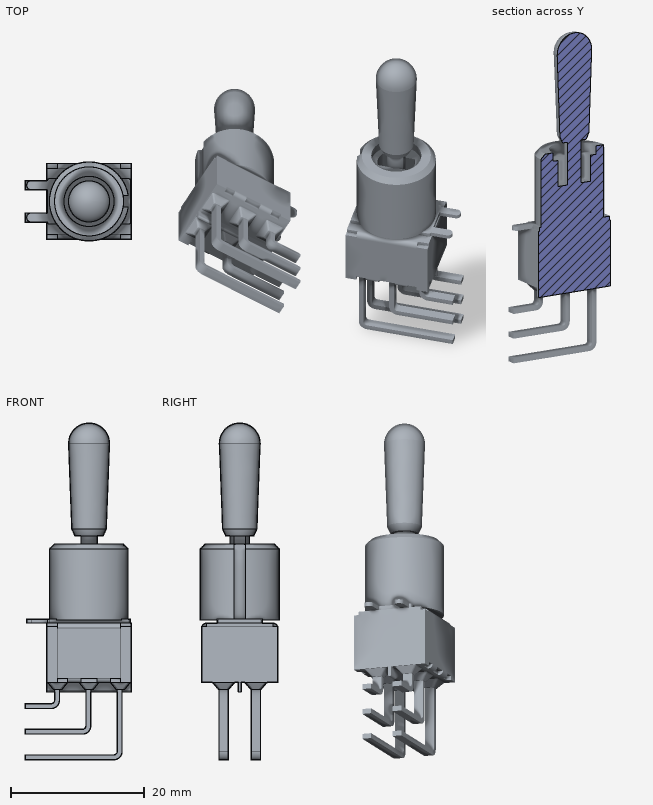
import cadquery as cq


body_length = 12.7
body_width = 11.35
body_bottom = 11.6
body_top = 20.45
end_plate_thickness = 1.65
end_plate_top = 19.95
cover_thickness = 0.75
cover_length = body_length - 2 * end_plate_thickness
cover_bottom = 12.2
crimp_tab_width = 2.0
crimp_tab_offset = 2.2
crimp_tab_rounding = cover_bottom - body_bottom

rib_width = 0.5
rib_bottom = 10.1
rib_rounding = 0.225

bracket_length = 12.4
bracket_width = 6.8
bracket_thickness = 0.6
bracket_corner_radius = 0.25
bracket_tab_width = 1.35
bracket_tab_tip = -9.3

sleeve_radius = 5.915
sleeve_bottom = 20.9
sleeve_top = 32.25
sleeve_chamfer = 0.75
bore_diameter = 7.5
bore_depth = 1.3
keyway_width = 1.7
keyway_floor = sleeve_radius - sleeve_chamfer
lever_slot_radius = 2.8
lever_slot_width = 2.7
lever_slot_depth = 4.05

stem_radius = 1.485
stem_thickness = 2.45
grip_bottom = 33.45
grip_shoulder = 34.55
grip_bottom_radius = 2.1
grip_shoulder_radius = 2.59
dome_radius = 3.05
lever_tip = 50.35

terminal_end = -9.55
terminal_thickness = 0.75
terminal_width = 1.4
terminal_row_offset = 2.4
terminal_pitch = 4.7
terminal_axis_shift = 0.1
terminal_level_pitch = 3.8
bend_inner_radius = 0.5
bend_outer_radius = bend_inner_radius + terminal_thickness
seal_height = 1.05
seal_top_size = (2.95, 3.35)
seal_bottom_size = (1.3, 1.5)
seal_corner_radius = 0.3


def block(length, width, bottom, top, x=0.0, y=0.0):
    """Box centred on (x, y) that spans bottom to top in Z."""
    return (
        cq.Workplane("XY", origin=(x, y, bottom))
        .rect(length, width)
        .extrude(top - bottom)
    )


def make_body():
    core_width = body_width - 2 * cover_thickness
    body = block(cover_length, core_width, body_bottom, body_top)

    cover = block(cover_length, body_width, cover_bottom, body_top)
    cover = cover.faces(">Z").edges("|X").fillet(cover_thickness)
    body = body.union(cover)

    body = body.union(block(body_length, core_width, end_plate_top, body_top))

    tab_top = cover_bottom + crimp_tab_rounding
    for x in (-crimp_tab_offset, crimp_tab_offset):
        tabs = block(crimp_tab_width, body_width, body_bottom, tab_top, x)
        tabs = tabs.faces("<Z").edges("|X").fillet(crimp_tab_rounding)
        body = body.union(tabs)

    plate_x = (body_length - end_plate_thickness) / 2
    for x in (-plate_x, plate_x):
        plate = block(end_plate_thickness, body_width, body_bottom, end_plate_top, x)
        body = body.union(plate, clean=False)
    return body


def make_rib():
    rib = block(body_length, rib_width, rib_bottom, body_bottom)
    return rib.faces("<Z").edges("|X").fillet(rib_rounding)


def make_bracket():
    bracket_top = body_top + bracket_thickness
    bracket = block(bracket_length, bracket_width, body_top, bracket_top)
    bracket = bracket.edges("|Z").fillet(bracket_corner_radius)
    tip_radius = bracket_tab_width / 2
    tip_center = bracket_tab_tip + tip_radius
    for y in (-terminal_row_offset, terminal_row_offset):
        tab = block(-tip_center, bracket_tab_width, body_top, bracket_top, tip_center / 2, y)
        tip = (
            cq.Workplane("XY", origin=(tip_center, y, body_top))
            .circle(tip_radius)
            .extrude(bracket_thickness)
        )
        bracket = bracket.union(tab).union(tip)
    return bracket


def make_sleeve():
    sleeve = (
        cq.Workplane("XY", origin=(0, 0, sleeve_bottom))
        .circle(sleeve_radius)
        .extrude(sleeve_top - sleeve_bottom)
        .faces(">Z")
        .chamfer(sleeve_chamfer)
    )
    bore_floor = sleeve_top - bore_depth
    bore = (
        cq.Workplane("XY", origin=(0, 0, bore_floor))
        .circle(bore_diameter / 2)
        .extrude(bore_depth)
    )
    slot_floor = bore_floor - lever_slot_depth
    slot = (
        cq.Workplane("XY", origin=(0, 0, slot_floor))
        .circle(lever_slot_radius)
        .extrude(lever_slot_depth)
        .intersect(block(2 * lever_slot_radius, lever_slot_width, slot_floor, bore_floor))
    )
    keyway_x = keyway_floor + sleeve_chamfer
    keyway = block(2 * sleeve_chamfer, keyway_width, sleeve_bottom, sleeve_top, keyway_x)
    return sleeve.cut(bore).cut(slot).cut(keyway)


def make_lever():
    stem_bottom = sleeve_top - bore_depth - lever_slot_depth
    stem = (
        cq.Workplane("XY", origin=(0, 0, stem_bottom))
        .circle(stem_radius)
        .extrude(grip_bottom - stem_bottom)
        .intersect(block(stem_thickness, 2 * stem_radius, stem_bottom, grip_bottom))
    )
    dome_center = lever_tip - dome_radius
    dome_diagonal = dome_radius * 0.5**0.5
    grip = (
        cq.Workplane("XZ")
        .moveTo(0, grip_bottom)
        .lineTo(grip_bottom_radius, grip_bottom)
        .lineTo(grip_shoulder_radius, grip_shoulder)
        .lineTo(dome_radius, dome_center)
        .threePointArc((dome_diagonal, dome_center + dome_diagonal), (0, lever_tip))
        .close()
        .revolve(360, (0, 0, 0), (0, 1, 0))
    )
    return stem.union(grip)


def make_terminal(column, y):
    """L-shaped terminal of one column with its tapered seal under the body."""
    seal_x = column * terminal_pitch
    level = (1 - column) * terminal_level_pitch
    right = seal_x - terminal_axis_shift + terminal_thickness / 2
    left = right - terminal_thickness
    upper = level + terminal_thickness
    terminal = (
        cq.Workplane("XZ", origin=(0, y + terminal_width / 2, 0))
        .moveTo(terminal_end, level)
        .lineTo(right - bend_outer_radius, level)
        .radiusArc((right, level + bend_outer_radius), -bend_outer_radius)
        .lineTo(right, body_bottom)
        .lineTo(left, body_bottom)
        .lineTo(left, upper + bend_inner_radius)
        .radiusArc((left - bend_inner_radius, upper), bend_inner_radius)
        .lineTo(terminal_end, upper)
        .close()
        .extrude(terminal_width)
    )
    seal = (
        cq.Workplane("XY", origin=(seal_x, y, body_bottom - seal_height))
        .rect(*seal_bottom_size)
        .workplane(offset=seal_height)
        .rect(*seal_top_size)
        .loft()
        .edges("not (<Z or >Z)")
        .fillet(seal_corner_radius)
    )
    return terminal.union(seal)


result = make_body()
features = [make_rib(), make_bracket(), make_sleeve(), make_lever()]
for terminal_y in (-terminal_row_offset, terminal_row_offset):
    for terminal_column in (-1, 0, 1):
        features.append(make_terminal(terminal_column, terminal_y))
for feature in features:
    result = result.union(feature, clean=False)